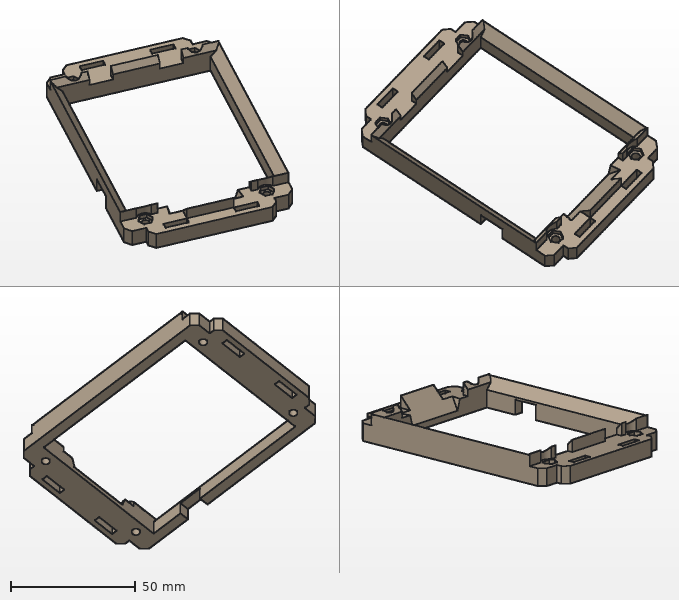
import cadquery as cq

LENGTH = 109.0
WIDTH = 71.9
PLATE_HEIGHT = 7.5
RIM_HEIGHT = 12.8
MODULE = 2.5

SHOULDER_X = 49.6
SHOULDER_Y = 27.4
CORNER_CHAMFER_X = 2.7

OPENING_X = 40.0
OPENING_Y = 31.6
RIM_X = OPENING_X + MODULE
SIDE_WALL_HEIGHT = 12.3

GAP_CENTRE_Y = 15.0
GAP_LENGTH = 10.0

SCREW_X = 44.5
SCREW_Y = 25.9
SCREW_DIAMETER = 3.4
NUT_ACROSS_CORNERS = 6.3
NUT_DEPTH = 2.0
CLEARANCE_DIAMETER = 7.5

RAMP_FOOT_Z = 2.8
RAMP_HALF_WIDTH = GAP_CENTRE_Y - GAP_LENGTH / 2
RAMP_CUT_TOP_Y = 15.8
RAMP_CUT_INNER_Y = 15.1
RAMP_CUT_BOTTOM_Y = 13.7

NOTCH_START_X = 13.8
NOTCH_LENGTH = 11.0
NOTCH_HEIGHT = 6.4


def box(x_range, y_range, z_range):
    (x0, x1), (y0, y1), (z0, z1) = x_range, y_range, z_range
    return cq.Workplane("XY").box(x1 - x0, y1 - y0, z1 - z0, centered=False).translate((x0, y0, z0))


def plate():
    half_x = LENGTH / 2
    half_y = WIDTH / 2
    quarter = [
        (half_x, SHOULDER_Y - MODULE),
        (half_x - MODULE, SHOULDER_Y),
        (SHOULDER_X, SHOULDER_Y),
        (SHOULDER_X, half_y - MODULE),
        (SHOULDER_X - CORNER_CHAMFER_X, half_y),
    ]
    right = [(x, -y) for x, y in reversed(quarter)] + quarter
    left = [(-x, -y) for x, y in right]
    return cq.Workplane("XY").polyline(right + left).close().extrude(PLATE_HEIGHT)


def rim_block():
    return box((-RIM_X, RIM_X), (-WIDTH / 2, WIDTH / 2), (0, RIM_HEIGHT))


def funnel():
    """Opening that flares at 45 degrees in X and up to a sharp edge in Y."""
    flare_start = RIM_HEIGHT - MODULE
    across_x = (
        cq.Workplane("XZ")
        .polyline([
            (-OPENING_X, 0), (OPENING_X, 0), (OPENING_X, flare_start),
            (RIM_X, RIM_HEIGHT), (-RIM_X, RIM_HEIGHT), (-OPENING_X, flare_start),
        ])
        .close()
        .extrude(WIDTH, both=True)
    )
    half_y = WIDTH / 2
    across_y = (
        cq.Workplane("YZ")
        .polyline([
            (-OPENING_Y, 0), (OPENING_Y, 0), (OPENING_Y, PLATE_HEIGHT),
            (half_y, SIDE_WALL_HEIGHT), (half_y, RIM_HEIGHT),
            (-half_y, RIM_HEIGHT), (-half_y, SIDE_WALL_HEIGHT), (-OPENING_Y, PLATE_HEIGHT),
        ])
        .close()
        .extrude(LENGTH, both=True)
    )
    return across_x.intersect(across_y)


def at_screws(shape):
    screws = cq.Workplane("XY")
    for x in (-SCREW_X, SCREW_X):
        for y in (-SCREW_Y, SCREW_Y):
            screws = screws.add(shape.translate((x, y, 0)))
    return screws.combine()


def screw_holes():
    return at_screws(cq.Workplane("XY").circle(SCREW_DIAMETER / 2).extrude(PLATE_HEIGHT))


def nut_clearance():
    """Round reliefs that the nuts need in the end walls."""
    plate_top = cq.Workplane("XY", origin=(0, 0, PLATE_HEIGHT))
    return at_screws(plate_top.circle(CLEARANCE_DIAMETER / 2).extrude(RIM_HEIGHT - PLATE_HEIGHT))


def nut_pockets():
    """Hexagons with corners along Y; the rim wall trims those at the -X end."""
    floor = cq.Workplane("XY", origin=(0, 0, PLATE_HEIGHT - NUT_DEPTH))
    hexagon = floor.polygon(6, NUT_ACROSS_CORNERS).extrude(NUT_DEPTH)
    upright = hexagon.rotate((0, 0, 0), (0, 0, 1), 90)
    left_rim = box((-RIM_X, 0), (-WIDTH / 2, WIDTH / 2), (0, RIM_HEIGHT))
    return at_screws(upright).cut(left_rim)


def ramp_break_x():
    """X at which the ramp surface passes through the top of the plate."""
    run_per_rise = (SHOULDER_X - OPENING_X) / (RIM_HEIGHT - RAMP_FOOT_Z)
    return OPENING_X + (PLATE_HEIGHT - RAMP_FOOT_Z) * run_per_rise


def ramp_wedge():
    """Part of the ramp that stands above the plate."""
    return (
        cq.Workplane("XZ")
        .polyline([
            (ramp_break_x(), PLATE_HEIGHT),
            (SHOULDER_X, PLATE_HEIGHT),
            (SHOULDER_X, RIM_HEIGHT),
        ])
        .close()
        .extrude(RAMP_HALF_WIDTH, both=True)
    )


def ramp_cut():
    """Part of the ramp sunk into the plate, narrowing towards its foot."""
    def ends(x, y, z):
        return cq.Vector(x, -y, z), cq.Vector(x, y, z)

    break_a, break_b = ends(ramp_break_x(), RAMP_CUT_TOP_Y, PLATE_HEIGHT)
    inner_a, inner_b = ends(OPENING_X, RAMP_CUT_INNER_Y, PLATE_HEIGHT)
    foot_a, foot_b = ends(OPENING_X, RAMP_CUT_BOTTOM_Y, RAMP_FOOT_Z)
    outlines = [
        [break_a, inner_a, inner_b, break_b],
        [inner_a, foot_a, foot_b, inner_b],
        [break_a, break_b, foot_b, foot_a],
        [break_a, foot_a, inner_a],
        [break_b, inner_b, foot_b],
    ]
    faces = [cq.Face.makeFromWires(cq.Wire.makePolygon(outline, close=True)) for outline in outlines]
    return cq.Workplane(obj=cq.Solid.makeSolid(cq.Shell.makeShell(faces)))


result = plate().union(rim_block()).cut(funnel())

for side in (-1, 1):
    for centre_y in (-GAP_CENTRE_Y, GAP_CENTRE_Y):
        y_range = (centre_y - GAP_LENGTH / 2, centre_y + GAP_LENGTH / 2)
        wall_x = sorted((side * OPENING_X, side * RIM_X))
        slot_x = sorted((side * SHOULDER_X, side * (SHOULDER_X + MODULE)))
        result = result.cut(box(wall_x, y_range, (PLATE_HEIGHT, RIM_HEIGHT)))
        result = result.cut(box(slot_x, y_range, (0, PLATE_HEIGHT)))

result = result.cut(screw_holes()).cut(nut_clearance()).cut(nut_pockets())

middle = (-RAMP_HALF_WIDTH, RAMP_HALF_WIDTH)
result = result.cut(box((OPENING_X, RIM_X), middle, (PLATE_HEIGHT, RIM_HEIGHT)))
result = result.union(ramp_wedge()).cut(ramp_cut())

notch_x = (NOTCH_START_X, NOTCH_START_X + NOTCH_LENGTH)
result = result.cut(box(notch_x, (-WIDTH / 2, -OPENING_Y), (0, NOTCH_HEIGHT))).solids()